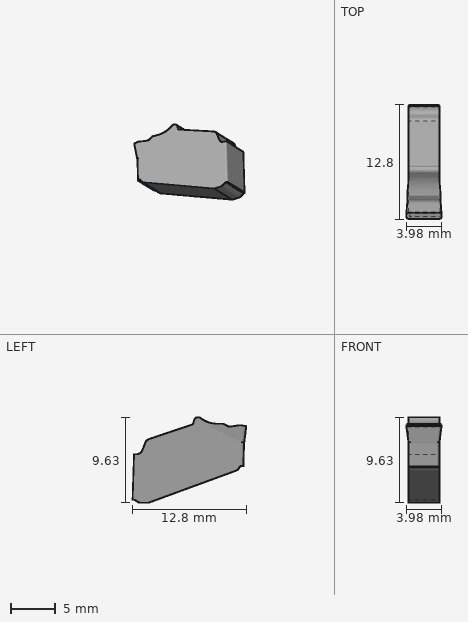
import cadquery as cq
import math

length = 12.8
height = 9.63
body_half_width = 1.75
blank_half_width = 2.56
front_corner_radius = 0.31
rear_corner_radius = 0.19

tip_z = 8.61
clearance_break_y = 0.25
front_foot = (0.33, 4.13)
rear_top = (12.63, 5.48)
rear_foot = (length, 0.35)

flare_root_rear = (4.68, 8.82)
flare_root_front = (0.52, 6.78)
flare_root_slope = (flare_root_rear[1] - flare_root_front[1]) / (flare_root_rear[0] - flare_root_front[0])
flare_lean = 0.135
flare_depth = 5.12
flare_overrun = 2.56
flank_blend_radius = 9.73

clearance_break = (
    clearance_break_y,
    flare_root_front[1] - flare_root_slope * (flare_root_front[0] - clearance_break_y),
)


def arc_middle(start, end, bulge):
    """Point on an arc, offset by bulge to the left of the chord from start to end."""
    dy = end[0] - start[0]
    dz = end[1] - start[1]
    chord = math.hypot(dy, dz)
    middle_y = (start[0] + end[0]) / 2 - bulge * dz / chord
    middle_z = (start[1] + end[1]) / 2 + bulge * dy / chord
    return (middle_y, middle_z)


def add_arc(outline, start, end, bulge):
    return outline.lineTo(*start).threePointArc(arc_middle(start, end, bulge), end)


def side_profile(half_width):
    """Side outline of the insert, extruded symmetrically across the width."""
    outline = cq.Workplane("YZ").moveTo(0, tip_z)

    outline = outline.lineTo(0.32, 8.68)
    outline = outline.lineTo(0.7, 8.74)
    outline = add_arc(outline, (1.72, 8.59), (2.24, 8.7), -0.06)
    outline = add_arc(outline, (2.59, 8.88), (2.74, 8.9), 0.01)
    outline = outline.lineTo(3.29, 8.9)
    outline = add_arc(outline, (3.52, 8.91), (4.67, 9.23), -0.06)
    outline = outline.lineTo(5.1, 9.48)
    outline = outline.threePointArc((5.45, height), (5.86, 9.37))
    outline = add_arc(outline, (5.96, 9.04), (6.17, 8.78), -0.05)

    outline = outline.lineTo(10.02, 7.49)
    outline = add_arc(outline, (10.88, 7.2), (11.34, 6.82), 0.06)
    outline = add_arc(outline, (11.69, 5.95), (12.43, rear_top[1]), -0.15)
    outline = outline.lineTo(*rear_top)

    outline = outline.lineTo(*rear_foot)
    outline = outline.lineTo(12.58, rear_foot[1])
    outline = add_arc(outline, (12.24, 0.13), (11.9, 0), 0.03)
    outline = outline.lineTo(11.01, 0)
    outline = add_arc(outline, (1.15, 3.61), (0.82, 3.94), 0.05)
    outline = outline.lineTo(0.74, 4.02)
    outline = outline.lineTo(0.67, front_foot[1])
    outline = outline.lineTo(*front_foot)
    outline = outline.lineTo(*clearance_break)
    return outline.close().extrude(half_width, both=True)


def flared_head():
    """Front head whose flanks widen from the root line up to the cutting edge."""
    root_length = math.dist(flare_root_rear, flare_root_front)
    along_y = (flare_root_rear[0] - flare_root_front[0]) / root_length
    along_z = (flare_root_rear[1] - flare_root_front[1]) / root_length
    start_y = flare_root_rear[0] + flare_overrun * along_y
    start_z = flare_root_rear[1] + flare_overrun * along_z
    section = cq.Plane(origin=(0, start_y, start_z), xDir=(1, 0, 0), normal=(0, -along_y, -along_z))
    top_half_width = body_half_width + flare_lean * flare_depth
    wedge = (
        cq.Workplane(section)
        .polyline([
            (-body_half_width, 0),
            (body_half_width, 0),
            (top_half_width, flare_depth),
            (-top_half_width, flare_depth),
        ])
        .close()
        .extrude(root_length + 2 * flare_overrun)
    )
    front_zone = cq.Workplane("XY").box(
        2 * blank_half_width, flare_root_rear[0], height, centered=(True, False, False)
    )
    head = side_profile(blank_half_width).intersect(wedge).intersect(front_zone)

    blend_x = body_half_width + flank_blend_radius
    blends = (
        cq.Workplane("XY")
        .pushPoints([(-blend_x, flare_root_rear[0]), (blend_x, flare_root_rear[0])])
        .circle(flank_blend_radius)
        .extrude(height)
    )
    return head.cut(blends)


def corner_edges(solid, lower, upper):
    """Edges on both flanks that run between two points of the side outline."""
    middle_y = (lower[0] + upper[0]) / 2
    middle_z = (lower[1] + upper[1]) / 2
    catch = 0.06
    box = cq.selectors.BoxSelector(
        (-blank_half_width, middle_y - catch, middle_z - catch),
        (blank_half_width, middle_y + catch, middle_z + catch),
    )
    return solid.edges(box).edges("not |X")


insert = side_profile(body_half_width).union(flared_head())

front_edges = corner_edges(insert, front_foot, clearance_break)
front_edges = front_edges.add(corner_edges(insert, clearance_break, (0, tip_z)))
insert = front_edges.fillet(front_corner_radius)
result = corner_edges(insert, rear_foot, rear_top).fillet(rear_corner_radius)